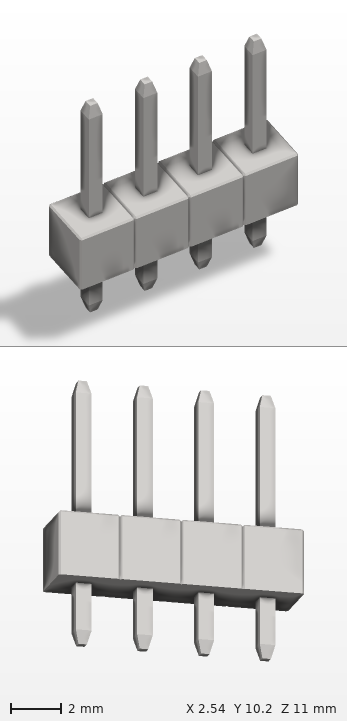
import cadquery as cq

pin_count = 4
pitch = 2.54

housing_height = 2.7
housing_chamfer = 0.075

pin_width = 0.65
tip_width = 0.35
tip_length = 0.55
pin_length = 11.0
pin_bottom = -2.5


def make_housing(y):
    """Block one pitch square, chamfered on its upright and top edges, with a hole for the pin."""
    return (
        cq.Workplane("XY")
        .box(pitch, pitch, housing_height, centered=(True, True, False))
        .edges("|Z or >Z")
        .chamfer(housing_chamfer)
        .faces(">Z")
        .workplane()
        .rect(pin_width, pin_width)
        .cutThruAll()
        .translate((0, y, 0))
    )


def make_tip(y, end_z, shoulder_z):
    """Tapered tip from the narrow pin end to the full pin width at the shoulder."""
    return (
        cq.Workplane("XY", origin=(0, y, end_z))
        .rect(tip_width, tip_width)
        .workplane(offset=shoulder_z - end_z)
        .rect(pin_width, pin_width)
        .loft(ruled=True)
    )


def make_pin(y):
    """Square pin running through the housing, tapered at both ends."""
    pin_top = pin_bottom + pin_length
    lower_shoulder = pin_bottom + tip_length
    upper_shoulder = pin_top - tip_length
    shank = (
        cq.Workplane("XY", origin=(0, y, lower_shoulder))
        .rect(pin_width, pin_width)
        .extrude(upper_shoulder - lower_shoulder)
    )
    lower_tip = make_tip(y, pin_bottom, lower_shoulder)
    upper_tip = make_tip(y, pin_top, upper_shoulder)
    return shank.union(lower_tip).union(upper_tip)


bodies = []
for index in range(pin_count):
    position_y = (index - (pin_count - 1) / 2) * pitch
    bodies.append(make_housing(position_y).solids().val())
    bodies.append(make_pin(position_y).solids().val())

result = cq.Compound.makeCompound(bodies)